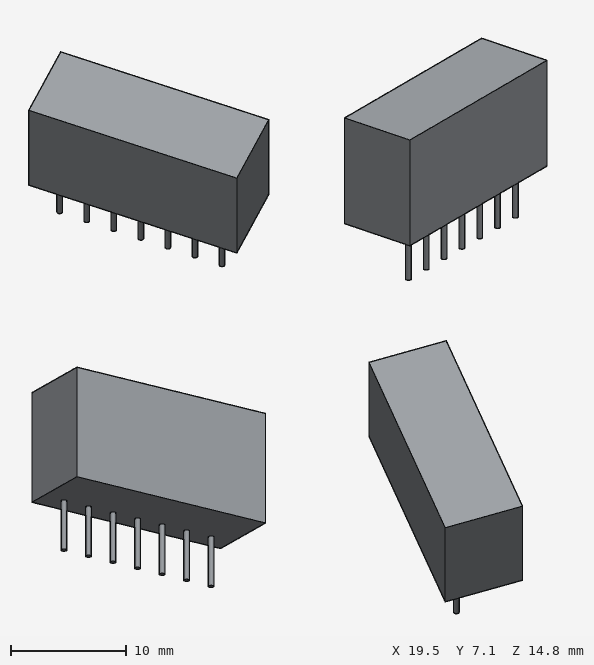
import cadquery as cq

HOUSING_LENGTH = 19.51
HOUSING_WIDTH = 7.1
HOUSING_HEIGHT = 10.2

PIN_COUNT = 7
PIN_PITCH = 2.54
PIN_DIAMETER = 0.5
PIN_LENGTH = 4.58
PIN_ROW_SETBACK = 1.8

PIN_ROW_Y = -HOUSING_WIDTH / 2 + PIN_ROW_SETBACK


def make_housing():
    """Plain rectangular block standing on Z = 0."""
    return cq.Workplane("XY").box(
        HOUSING_LENGTH, HOUSING_WIDTH, HOUSING_HEIGHT, centered=(True, True, False)
    )


def make_pin(x):
    """Round pin that meets the underside of the housing and points down."""
    return (
        cq.Workplane("XY")
        .center(x, PIN_ROW_Y)
        .circle(PIN_DIAMETER / 2)
        .extrude(-PIN_LENGTH)
    )


housing = make_housing()

first_pin_x = -PIN_PITCH * (PIN_COUNT - 1) / 2
pins = [make_pin(first_pin_x + index * PIN_PITCH) for index in range(PIN_COUNT)]

result = cq.Compound.makeCompound([housing.val(), *[pin.val() for pin in pins]])